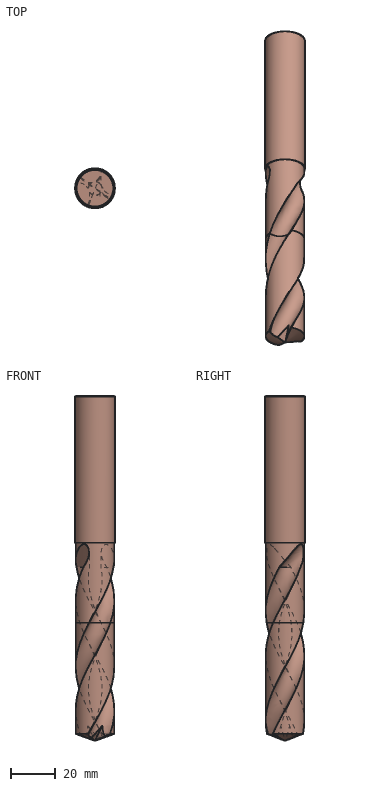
import cadquery as cq
import math

overall_length = 155.0
shank_diameter = 18.0
shank_length = 66.0
drill_diameter = 17.4
head_length = 53.0
point_angle = 140.0
shank_chamfer_radial = 0.8
shank_chamfer_axial = 0.5

flute_count = 2
flute_pitch = 99.0
flute_width_angle = 70.0
flute_floor_radius = 3.0
flute_start_angle = 94.5
flute_helix_end = 78.0
flute_runout_end = 88.3

gash_top = 6.9
gash_top_radius = 3.9
gash_top_angle = 54.5
heel_relief_angle = 2.5
gash_reach = 1.1

drill_radius = drill_diameter / 2
shank_radius = shank_diameter / 2
shank_start = overall_length - shank_length
point_height = drill_radius / math.tan(math.radians(point_angle / 2))
half_angle = flute_width_angle / 2
mouth_distance = drill_radius * math.cos(math.radians(half_angle))
mouth_half_width = drill_radius * math.sin(math.radians(half_angle))
groove_depth = mouth_distance - flute_floor_radius
groove_radius = (groove_depth**2 + mouth_half_width**2) / (2 * groove_depth)
groove_distance = flute_floor_radius + groove_radius


def polar(radius, angle):
    """Point at a radius and an angle in degrees."""
    return (radius * math.cos(math.radians(angle)), radius * math.sin(math.radians(angle)))


def flute_angle(z):
    """Direction of the middle of the first flute at height z."""
    return flute_start_angle + 360 * z / flute_pitch


def flute_profile(z, turn):
    """Round flute cross-section at height z."""
    middle = polar(groove_distance, flute_angle(z) + turn)
    return cq.Workplane("XY", origin=(0, 0, z)).moveTo(*middle).circle(groove_radius)


def helical_flute(turn):
    """Main stretch of a flute, twisted about the drill axis."""
    twist = 360 * flute_helix_end / flute_pitch
    return flute_profile(0, turn).twistExtrude(flute_helix_end, twist)


def flute_runout(turn):
    """Straight end stretch of a flute that leaves the drill surface just below the shank."""
    start_x, start_y = polar(groove_distance, flute_angle(flute_helix_end) + turn)
    finish_x, finish_y = polar(drill_radius + groove_radius, flute_angle(flute_runout_end) + turn)
    rise = flute_runout_end - flute_helix_end
    path = cq.Vector(finish_x - start_x, finish_y - start_y, rise)
    wire = flute_profile(flute_helix_end, turn).wires().val()
    return cq.Workplane(obj=cq.Solid.extrudeLinear(wire, [], path))


def gash(turn):
    """V-notch whose root climbs from the drill tip; its walls run to the lip corner and past the heel."""
    tip = cq.Vector(0, 0, 0)
    corner_angle = flute_angle(point_height) + turn
    lip_angle = corner_angle + half_angle
    heel_angle = corner_angle - half_angle - heel_relief_angle
    lip = cq.Vector(*polar(drill_radius, lip_angle), point_height) * gash_reach
    heel = cq.Vector(*polar(drill_radius, heel_angle), point_height) * gash_reach
    root = cq.Vector(*polar(gash_top_radius, flute_start_angle + gash_top_angle + turn), gash_top)
    triangle = cq.Wire.makePolygon([tip - root, lip - root, heel - root], close=True)
    return cq.Workplane(obj=cq.Solid.extrudeLinear(triangle, [], root * 2))


def drill_blank():
    """Full solid of revolution: cone point, drill diameter and chamfered shank."""
    return (
        cq.Workplane("XZ")
        .moveTo(0, 0)
        .lineTo(drill_radius, point_height)
        .lineTo(drill_radius, shank_start)
        .lineTo(shank_radius, shank_start)
        .lineTo(shank_radius, overall_length - shank_chamfer_axial)
        .lineTo(shank_radius - shank_chamfer_radial, overall_length)
        .lineTo(0, overall_length)
        .close()
        .revolve(360, (0, 0), (0, 1))
    )


drill = drill_blank()
for index in range(flute_count):
    turn = index * 360 / flute_count
    drill = drill.cut(helical_flute(turn))
    drill = drill.cut(flute_runout(turn))
    drill = drill.cut(gash(turn))

head_zone = cq.Workplane("XY").circle(shank_diameter).extrude(head_length)
head = drill.intersect(head_zone)
shank = drill.cut(head_zone)

result = cq.Compound.makeCompound([head.solids().val(), shank.solids().val()])